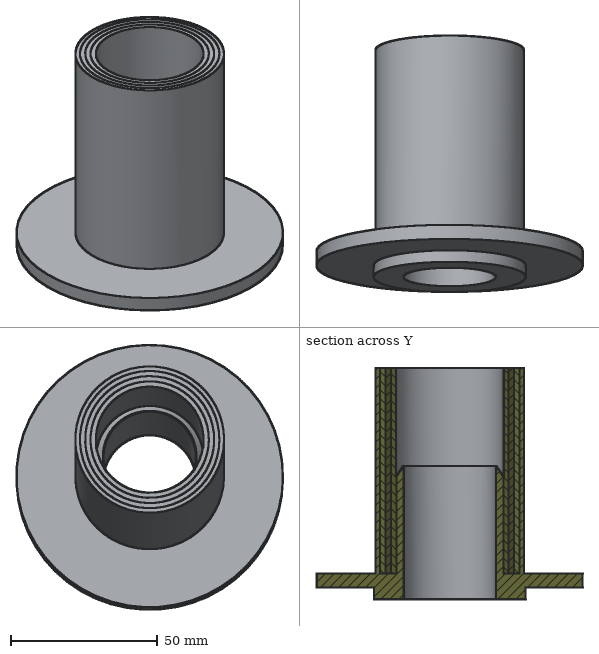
import cadquery as cq

total_height = 79.0
spigot_height = 4.0
flange_thickness = 4.9
flange_top = spigot_height + flange_thickness
nipple_top = 45.5
tip_height = 3.6

flange_diameter = 91.0
spigot_diameter = 52.0
ferrule_diameter = 50.8

tip_diameter = 32.0
throat_diameter = 31.5

layer_diameters = [36.8, 40.4, 44.0, 47.6]
hose_bore_diameter = layer_diameters[0]
hose_outer_diameter = layer_diameters[-1]


def make_fitting():
    """Flanged fitting with an outer ferrule and an inner, taper-tipped nipple."""
    profile = [
        (throat_diameter / 2, 0),
        (spigot_diameter / 2, 0),
        (spigot_diameter / 2, spigot_height),
        (flange_diameter / 2, spigot_height),
        (flange_diameter / 2, flange_top),
        (ferrule_diameter / 2, flange_top),
        (ferrule_diameter / 2, total_height),
        (hose_outer_diameter / 2, total_height),
        (hose_outer_diameter / 2, flange_top),
        (hose_bore_diameter / 2, flange_top),
        (hose_bore_diameter / 2, nipple_top - tip_height),
        (tip_diameter / 2, nipple_top),
        (throat_diameter / 2, nipple_top),
    ]
    return cq.Workplane("XZ").polyline(profile).close().revolve(360, (0, 0), (0, 1))


def make_hose_layer(inner_diameter, outer_diameter):
    """Tubular hose layer seated on the flange, flush with the ferrule rim."""
    return (
        cq.Workplane("XY")
        .workplane(offset=flange_top)
        .circle(outer_diameter / 2)
        .circle(inner_diameter / 2)
        .extrude(total_height - flange_top)
    )


fitting = make_fitting()

hose_layers = []
for inner_diameter, outer_diameter in zip(layer_diameters, layer_diameters[1:]):
    hose_layers.append(make_hose_layer(inner_diameter, outer_diameter).val())

result = cq.Compound.makeCompound([fitting.val(), *hose_layers])